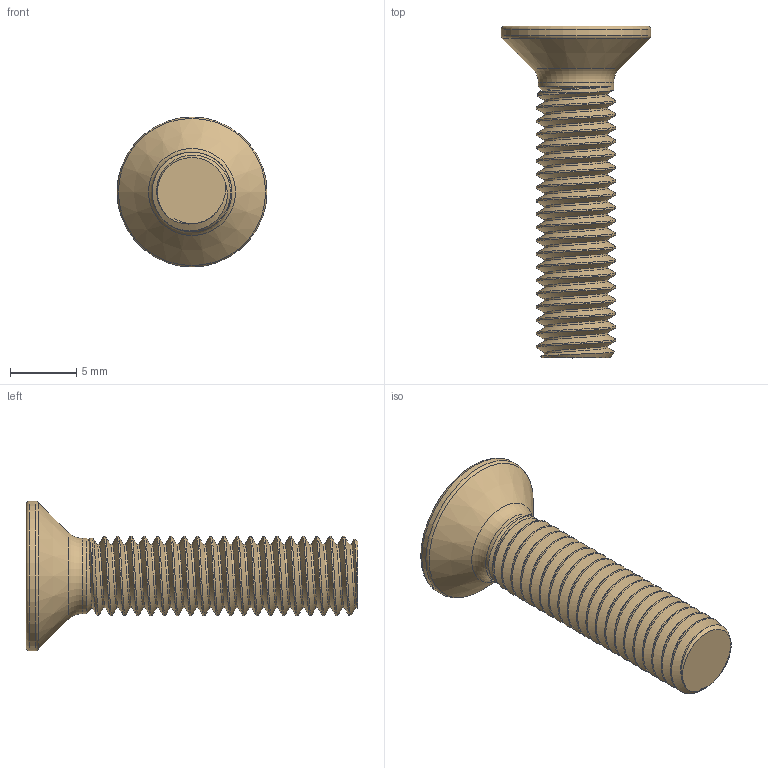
import cadquery as cq
import math

LENGTH = 25.0

HEAD_RADIUS = 11.3 / 2
HEAD_TOP_FILLET = 0.25
RIM_DEPTH = 0.68
RIM_FILLET = 0.35
CONE_ANGLE = math.radians(45)

NECK_RADIUS = 2.84
NECK_FILLET = 1.5
NECK_DEPTH = 4.57

PITCH = 1.0
MAJOR_RADIUS = 3.0
THREAD_DEPTH = 0.6134 * PITCH
ROOT_RADIUS = MAJOR_RADIUS - THREAD_DEPTH
ROOT_FLAT = PITCH / 6
FLANK_ANGLE = math.radians(30)
LOW_CREST_LENGTH = 0.45
CREST_TAPER = 0.45
RUNOUT = 0.5
RUNOUT_RADIUS = ROOT_RADIUS - 0.1
GROOVE_PHASE = -0.16
CUTTER_OVERCUT = 0.05
SHANK_OVERLAP = 0.9
SHANK_START = NECK_DEPTH - SHANK_OVERLAP

TIP_RADIUS = 2.6
TIP_CHAMFER = 0.6


def point_on_arc(center, radius, angle):
    """Point at an angle on a circle in the (radius, y) half plane."""
    x, y = center
    return (x + radius * math.cos(angle), y + radius * math.sin(angle))


def revolve_about_y(profile):
    """Full revolution of a half profile about the screw axis."""
    return profile.revolve(360, (0, 0), (0, 1))


def make_head_and_neck():
    """Countersunk head, plain neck and the cone on which the thread groove runs out."""
    top_center = (HEAD_RADIUS - HEAD_TOP_FILLET, -HEAD_TOP_FILLET)
    rim_center = (HEAD_RADIUS - RIM_FILLET, -RIM_DEPTH)
    cone_start = point_on_arc(rim_center, RIM_FILLET, -CONE_ANGLE)
    neck_center_x = NECK_RADIUS + NECK_FILLET
    cone_end_x = neck_center_x - NECK_FILLET * math.cos(CONE_ANGLE)
    cone_end_y = cone_start[1] - (cone_start[0] - cone_end_x) / math.tan(CONE_ANGLE)
    neck_center = (neck_center_x, cone_end_y - NECK_FILLET * math.sin(CONE_ANGLE))
    profile = (
        cq.Workplane("XY")
        .lineTo(HEAD_RADIUS - HEAD_TOP_FILLET, 0)
        .threePointArc(
            point_on_arc(top_center, HEAD_TOP_FILLET, math.pi / 4),
            (HEAD_RADIUS, -HEAD_TOP_FILLET),
        )
        .lineTo(HEAD_RADIUS, -RIM_DEPTH)
        .threePointArc(point_on_arc(rim_center, RIM_FILLET, -CONE_ANGLE / 2), cone_start)
        .lineTo(cone_end_x, cone_end_y)
        .threePointArc(
            point_on_arc(neck_center, NECK_FILLET, math.pi - CONE_ANGLE / 2),
            (NECK_RADIUS, neck_center[1]),
        )
        .lineTo(NECK_RADIUS, -NECK_DEPTH)
        .lineTo(RUNOUT_RADIUS, -NECK_DEPTH - RUNOUT)
        .lineTo(0, -NECK_DEPTH - RUNOUT)
        .close()
    )
    return revolve_about_y(profile)


def make_shank_blank():
    """Unthreaded shank from inside the neck to the chamfered tip."""
    taper_start = NECK_DEPTH + LOW_CREST_LENGTH
    profile = (
        cq.Workplane("XY")
        .moveTo(0, -SHANK_START)
        .lineTo(NECK_RADIUS, -SHANK_START)
        .lineTo(NECK_RADIUS, -taper_start)
        .lineTo(MAJOR_RADIUS, -taper_start - CREST_TAPER)
        .lineTo(MAJOR_RADIUS, -LENGTH + TIP_CHAMFER)
        .lineTo(TIP_RADIUS, -LENGTH)
        .lineTo(0, -LENGTH)
        .close()
    )
    return revolve_about_y(profile)


def make_groove():
    """Right-handed helical V groove from beyond the tip up into the neck."""
    start = GROOVE_PHASE - PITCH
    turns = math.ceil((LENGTH - NECK_DEPTH - start) / PITCH)
    one_turn = cq.Wire.makeHelix(PITCH, PITCH, ROOT_RADIUS).Edges()[0]
    helix = cq.Wire.assembleEdges(
        [one_turn.moved(cq.Location(cq.Vector(0, 0, turn * PITCH))) for turn in range(turns)]
    )
    outer_radius = MAJOR_RADIUS + CUTTER_OVERCUT
    root_half = ROOT_FLAT / 2
    mouth_half = root_half + (outer_radius - ROOT_RADIUS) * math.tan(FLANK_ANGLE)
    groove = (
        cq.Workplane("XZ")
        .moveTo(ROOT_RADIUS, -root_half)
        .lineTo(outer_radius, -mouth_half)
        .lineTo(outer_radius, mouth_half)
        .lineTo(ROOT_RADIUS, root_half)
        .close()
        .sweep(cq.Workplane(obj=helix), isFrenet=True)
    )
    return groove.rotate((0, 0, 0), (1, 0, 0), -90).translate((0, start - LENGTH, 0))


threaded_shank = make_shank_blank().cut(make_groove())
screw = make_head_and_neck().union(threaded_shank)
result = cq.Workplane(obj=screw.solids().val())